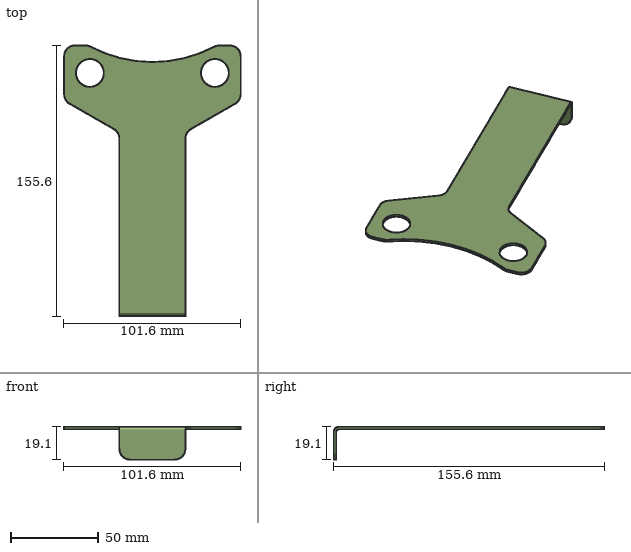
import cadquery as cq
import math

width = 101.6
length = 155.575
height = 19.05
thickness = 1.5875
inner_bend_radius = 1.5875
strip_width = 38.1
corner_radius = 6.35

side_length = 31.75
shoulder_angle = 29.8
shoulder_radius = 6.35
hole_diameter = 15.875
hole_spacing = 71.84
hole_setback = 15.875
scallop_radius = 76.2
scallop_depth = 9.525
scallop_end_radius = 6.35

half_width = width / 2
half_strip = strip_width / 2
outer_bend_radius = inner_bend_radius + thickness
side_end_y = length - side_length
shoulder_drop = (half_width - half_strip) * math.tan(math.radians(shoulder_angle))
strip_start_y = side_end_y - shoulder_drop
scallop_half_chord = math.sqrt(scallop_radius**2 - (scallop_radius - scallop_depth) ** 2)


def make_plate():
    """Flat plate with its head outline, ending where the bend begins."""
    outline = (
        cq.Workplane("XY")
        .moveTo(-half_strip, outer_bend_radius)
        .lineTo(half_strip, outer_bend_radius)
        .lineTo(half_strip, strip_start_y)
        .lineTo(half_width, side_end_y)
        .lineTo(half_width, length)
        .lineTo(scallop_half_chord, length)
        .threePointArc((0, length - scallop_depth), (-scallop_half_chord, length))
        .lineTo(-half_width, length)
        .lineTo(-half_width, side_end_y)
        .lineTo(-half_strip, strip_start_y)
        .close()
    )
    return outline.extrude(-thickness)


def round_head_corners(plate):
    """Round the outer corners of the head, the scallop ends and the inner corners at the strip."""
    for side in (-1, 1):
        corners = (
            (side * half_width, length, corner_radius),
            (side * scallop_half_chord, length, scallop_end_radius),
            (side * half_width, side_end_y, shoulder_radius),
            (side * half_strip, strip_start_y, shoulder_radius),
        )
        for x, y, radius in corners:
            corner_edge = cq.selectors.NearestToPointSelector((x, y, -thickness / 2))
            plate = plate.edges("|Z").edges(corner_edge).fillet(radius)
    return plate


def cut_holes(plate):
    """Drill one hole through each side of the head."""
    hole_y = length - hole_setback
    centers = [(side * hole_spacing / 2, hole_y) for side in (-1, 1)]
    holes = cq.Workplane("XY").pushPoints(centers).circle(hole_diameter / 2).extrude(-thickness)
    return plate.cut(holes)


def make_bend():
    """Quarter-round bend joining the plate to the downturned tab."""
    center = (outer_bend_radius, -outer_bend_radius)
    diagonal = math.sqrt(0.5)
    outer_mid = (center[0] - outer_bend_radius * diagonal, center[1] + outer_bend_radius * diagonal)
    inner_mid = (center[0] - inner_bend_radius * diagonal, center[1] + inner_bend_radius * diagonal)
    return (
        cq.Workplane("YZ")
        .moveTo(outer_bend_radius, 0)
        .threePointArc(outer_mid, (0, -outer_bend_radius))
        .lineTo(thickness, -outer_bend_radius)
        .threePointArc(inner_mid, (outer_bend_radius, -thickness))
        .close()
        .extrude(half_strip, both=True)
    )


def make_tab():
    """Downturned tab with rounded lower corners."""
    tab_height = height - outer_bend_radius
    tab = cq.Workplane("XY").box(strip_width, thickness, tab_height, centered=(True, False, False))
    tab = tab.translate((0, 0, -height))
    return tab.edges("|Y and <Z").fillet(corner_radius)


plate = cut_holes(round_head_corners(make_plate()))
result = plate.union(make_bend()).union(make_tab())